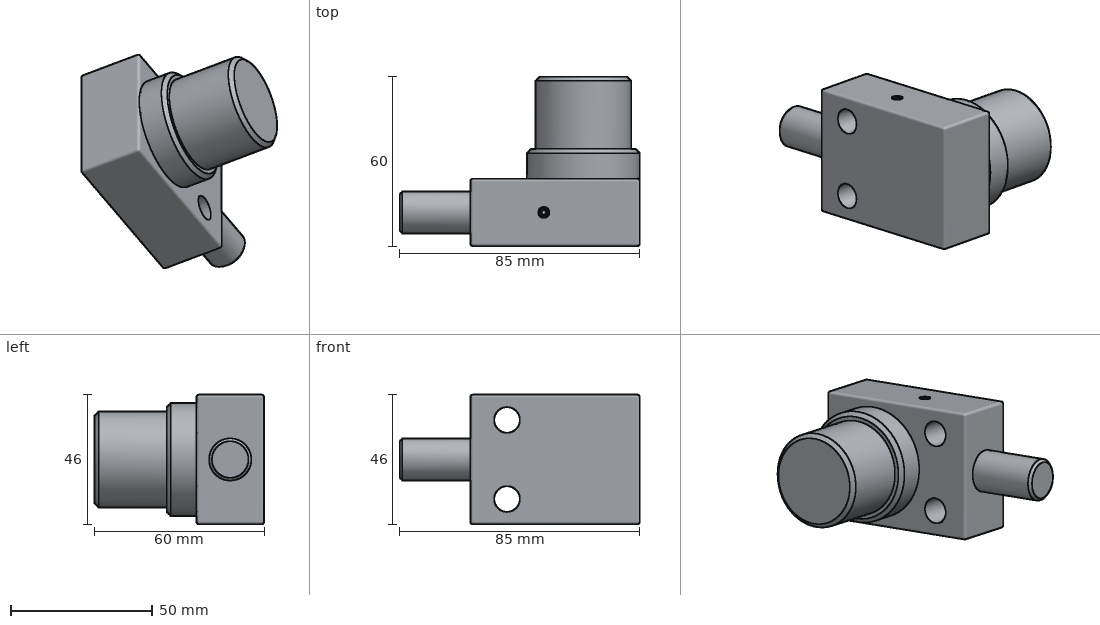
import cadquery as cq

block_length = 60.0
block_depth = 24.0
block_height = 46.0
edge_radius = 1.0

rod_length = 25.0
rod_diameter = 15.0
rod_chamfer = 1.0

collar_diameter = 40.0
collar_length = 10.5
barrel_diameter = 34.0
barrel_length = 25.5
barrel_chamfer = 1.5
barrel_x = block_length - collar_diameter / 2

mount_hole_diameter = 9.0
mount_hole_x = 13.0
mount_hole_spacing = 28.0

screw_x = 26.0
screw_diameter = 3.4
screw_length = 4.0
screw_chamfer = 0.25
countersink_diameter = 3.9
countersink_depth = (countersink_diameter - screw_diameter) / 2
socket_flats = 1.5
socket_depth = 2.0

back_y = block_depth / 2
top_z = block_height / 2
hexagon_corner_ratio = 2 / 3**0.5


def cylinder_along_y(diameter, start_y, length):
    """Cylinder on the barrel axis, with its chamfered end toward +Y."""
    plane = cq.Plane(origin=(barrel_x, start_y, 0), xDir=(1, 0, 0), normal=(0, 1, 0))
    return (
        cq.Workplane(plane)
        .circle(diameter / 2)
        .extrude(length)
        .faces(">Y")
        .chamfer(barrel_chamfer)
    )


def make_block():
    """Rectangular block with every edge rounded."""
    return (
        cq.Workplane("XY")
        .box(block_length, block_depth, block_height)
        .translate((block_length / 2, 0, 0))
        .edges()
        .fillet(edge_radius)
    )


def make_rod():
    """Round rod with a chamfered free end."""
    return (
        cq.Workplane("YZ")
        .circle(rod_diameter / 2)
        .extrude(-rod_length)
        .faces("<X")
        .chamfer(rod_chamfer)
    )


def make_mount_holes():
    """Cutters for the pair of through holes."""
    return (
        cq.Workplane("XZ")
        .pushPoints([(mount_hole_x, side * mount_hole_spacing / 2) for side in (-1, 1)])
        .circle(mount_hole_diameter / 2)
        .extrude(block_depth, both=True)
    )


def make_screw_blank():
    """Plain cylinder filling the set screw hole up to the top face."""
    return (
        cq.Workplane("XY", origin=(screw_x, 0, top_z))
        .circle(screw_diameter / 2)
        .extrude(-screw_length)
    )


def make_countersink():
    """Conical cutter at the mouth of the set screw hole."""
    return (
        cq.Workplane("XY", origin=(screw_x, 0, top_z))
        .circle(countersink_diameter / 2)
        .workplane(offset=-countersink_depth)
        .circle(screw_diameter / 2)
        .loft()
    )


def make_housing():
    """Block, rod and stepped barrel in one piece, with all holes cut."""
    collar = cylinder_along_y(collar_diameter, back_y, collar_length)
    barrel = cylinder_along_y(barrel_diameter, back_y + collar_length, barrel_length)
    body = make_block().union(make_rod()).union(collar).union(barrel)
    return body.cut(make_mount_holes()).cut(make_screw_blank()).cut(make_countersink())


def make_set_screw():
    """Headless chamfered screw, flush with the top face, with a hexagon socket."""
    socket = (
        cq.Workplane("XY", origin=(screw_x, 0, top_z))
        .polygon(6, socket_flats * hexagon_corner_ratio)
        .extrude(-socket_depth)
    )
    return make_screw_blank().faces(">Z").chamfer(screw_chamfer).cut(socket)


housing = make_housing()
set_screw = make_set_screw()

result = cq.Compound.makeCompound([housing.val(), set_screw.val()])